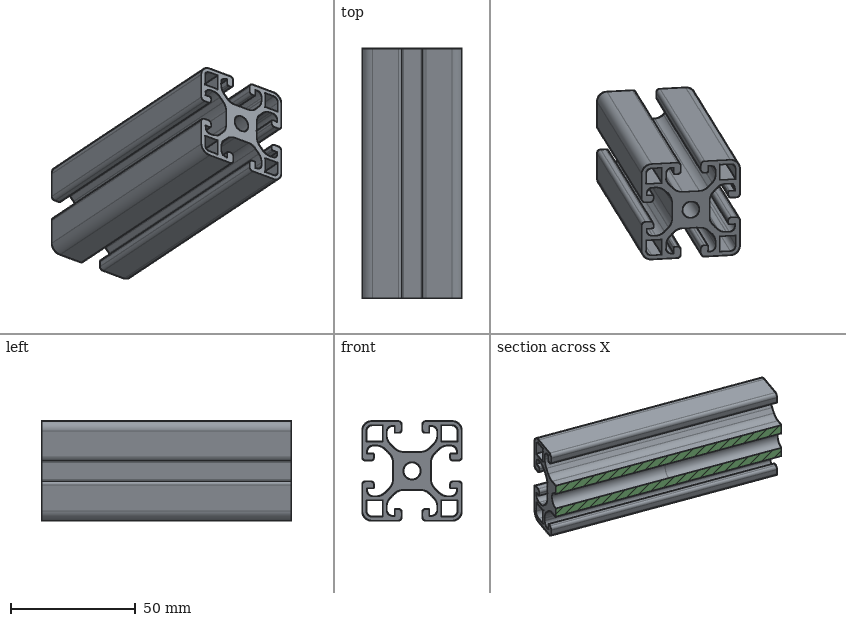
import cadquery as cq
import math

width = 40.0
length = 100.0
corner_radius = 4.0
bore_diameter = 6.8

slot_opening = 8.2
lip_depth = 4.8
lip_width = 2.9
lip_outer_radius = 1.5
lip_tip_radius = 1.25
lip_inner_radius = 0.5
flange_thickness = 2.05
slot_inner_width = 20.2
slot_pocket_radius = 2.4
slot_depth = 12.35
slot_floor_width = 11.0
slot_bend_radius = 5.0

chamber_wall = 1.8
chamber_size = 6.4
chamber_radius = corner_radius - chamber_wall

half_width = width / 2


def rotate_quarters(point, quarters):
    """Turn a section point clockwise about the centre by quarter turns."""
    x, z = point
    for _ in range(quarters):
        x, z = z, -x
    return x, z


def step_towards(start, end, distance):
    """Return the point at a distance from start on the line to end."""
    fraction = distance / math.dist(start, end)
    return tuple(s + (e - s) * fraction for s, e in zip(start, end))


def corner_arc(before, corner, after, radius):
    """Return the start, middle and end of the arc that rounds a corner."""
    angle_before = math.atan2(before[1] - corner[1], before[0] - corner[0])
    angle_after = math.atan2(after[1] - corner[1], after[0] - corner[0])
    half_angle = math.acos(math.cos(angle_before - angle_after)) / 2
    setback = radius / math.tan(half_angle)
    start = step_towards(corner, before, setback)
    end = step_towards(corner, after, setback)
    chord_middle = tuple((s + e) / 2 for s, e in zip(start, end))
    middle = step_towards(corner, chord_middle, radius / math.sin(half_angle) - radius)
    return start, middle, end


def rounded_prism(corners):
    """Extrude a closed outline of (point, corner radius) pairs; radius 0 is a sharp corner."""
    points = [point for point, _ in corners]
    first_edge_middle = step_towards(points[0], points[-1], math.dist(points[0], points[-1]) / 2)
    outline = cq.Workplane("XZ").moveTo(*first_edge_middle)
    for i, (point, radius) in enumerate(corners):
        if radius > 0:
            start, middle, end = corner_arc(points[i - 1], point, points[(i + 1) % len(points)], radius)
            outline = outline.lineTo(*start).threePointArc(middle, end)
        else:
            outline = outline.lineTo(*point)
    return outline.close().extrude(length / 2, both=True)


def side_corners():
    """Corners of the top side of the section: its left outer corner, then the slot."""
    opening_x = slot_opening / 2
    hook_x = opening_x + lip_width
    wall_x = slot_inner_width / 2
    floor_x = slot_floor_width / 2
    ceiling_z = half_width - flange_thickness
    lip_z = half_width - lip_depth
    floor_z = half_width - slot_depth
    bend_z = floor_z + wall_x - floor_x

    left_half = [
        ((-opening_x, half_width), lip_outer_radius),
        ((-opening_x, lip_z), lip_tip_radius),
        ((-hook_x, lip_z), lip_inner_radius),
        ((-hook_x, ceiling_z), 0),
        ((-wall_x, ceiling_z), slot_pocket_radius),
        ((-wall_x, bend_z), slot_bend_radius),
        ((-floor_x, floor_z), slot_bend_radius),
    ]
    right_half = [((-x, z), radius) for (x, z), radius in reversed(left_half)]
    return [((-half_width, half_width), corner_radius)] + left_half + right_half


def profile_body():
    """Solid section with four T-slots."""
    corners = []
    for quarters in range(4):
        corners += [(rotate_quarters(point, quarters), radius) for point, radius in side_corners()]
    return rounded_prism(corners)


def corner_chamber(quarters):
    """Square chamber with its outermost corner rounded to follow the outer corner."""
    outer = half_width - chamber_wall
    inner = outer - chamber_size
    corners = [
        ((-outer, inner), 0),
        ((-outer, outer), chamber_radius),
        ((-inner, outer), 0),
        ((-inner, inner), 0),
    ]
    return rounded_prism([(rotate_quarters(point, quarters), radius) for point, radius in corners])


def centre_bore():
    """Round bore through the whole length."""
    return cq.Workplane("XZ").circle(bore_diameter / 2).extrude(length / 2, both=True)


result = profile_body().cut(centre_bore())
for quarter in range(4):
    result = result.cut(corner_chamber(quarter))